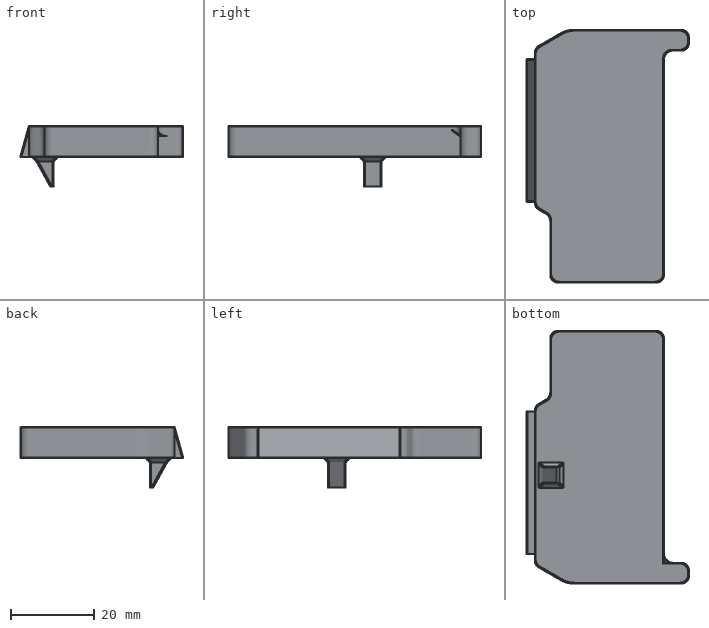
import cadquery as cq
import math

PLATE_LENGTH = 60.65
PLATE_HEIGHT = 7.5
EDGE_BREAK = 0.2
CORNER_RADIUS = 2.0
NOSE_RADIUS = 6.05
SLANT = math.tan(math.radians(30))

LEFT_X = 2.0
FOOT_LEFT_X = 5.7
RIGHT_X = 33.0
ARM_END_X = 39.0
ARM_WIDTH = 5.0
NOSE_X = 9.75
SHOULDER_Y = 18.15

RAMP_FRONT_Y = 19.35
RAMP_BACK_Y = 53.6
RAMP_CHAMFER = 0.2

WEB_DEPTH = 2.4
WEB_RISE = 1.4

HOOK_LENGTH = 7.05
HOOK_FLARE = 1.0
HOOK_ROOT_X = 3.9
HOOK_TIP_X = 7.2
HOOK_BACK_X = 7.9
HOOK_WIDTH = 4.1
HOOK_CENTRE_Y = 34.6
HOOK_CHAMFER = 0.25

ARM_FRONT_Y = PLATE_LENGTH - ARM_WIDTH


def make_plate():
    """Plate with rounded corners; the inner corner of the arm stays sharp."""
    nose = (NOSE_X, PLATE_LENGTH)
    outline = [
        (FOOT_LEFT_X, 0),
        (RIGHT_X, 0),
        (RIGHT_X, ARM_FRONT_Y),
        (ARM_END_X, ARM_FRONT_Y),
        (ARM_END_X, PLATE_LENGTH),
        nose,
        (LEFT_X, PLATE_LENGTH - (NOSE_X - LEFT_X) * SLANT),
        (LEFT_X, SHOULDER_Y),
        (FOOT_LEFT_X, SHOULDER_Y - (FOOT_LEFT_X - LEFT_X) * SLANT),
    ]
    inner_corner = (RIGHT_X, ARM_FRONT_Y)
    plate = cq.Workplane("XY").polyline(outline).close().extrude(PLATE_HEIGHT)
    half_height = PLATE_HEIGHT / 2
    for corner in outline:
        if corner == inner_corner:
            continue
        radius = NOSE_RADIUS if corner == nose else CORNER_RADIUS
        edge = cq.selectors.NearestToPointSelector((corner[0], corner[1], half_height))
        plate = plate.edges("|Z").edges(edge).fillet(radius)
    return plate


def make_web():
    """Concave fillet in the arm corner, with an underside that climbs away from the arm."""
    web = (
        cq.Workplane("XY", origin=(RIGHT_X, ARM_FRONT_Y, 0))
        .lineTo(0, -CORNER_RADIUS)
        .radiusArc((CORNER_RADIUS, 0), CORNER_RADIUS)
        .close()
        .extrude(PLATE_HEIGHT)
    )
    underside_z = PLATE_HEIGHT - WEB_DEPTH
    upper_zone = (
        cq.Workplane("YZ", origin=(RIGHT_X, 0, 0))
        .moveTo(ARM_FRONT_Y, underside_z)
        .lineTo(ARM_FRONT_Y - CORNER_RADIUS, underside_z + WEB_RISE)
        .lineTo(ARM_FRONT_Y - CORNER_RADIUS, PLATE_HEIGHT)
        .lineTo(ARM_FRONT_Y, PLATE_HEIGHT)
        .close()
        .extrude(CORNER_RADIUS)
    )
    return web.intersect(upper_zone)


def make_ramp():
    """Wedge leaning out from the top of the left side to X = 0 at the bottom."""
    return (
        cq.Workplane("XZ", origin=(0, RAMP_BACK_Y, 0))
        .moveTo(LEFT_X, 0)
        .lineTo(RAMP_CHAMFER, 0)
        .lineTo(0, RAMP_CHAMFER)
        .lineTo(LEFT_X, PLATE_HEIGHT - EDGE_BREAK)
        .close()
        .extrude(RAMP_BACK_Y - RAMP_FRONT_Y)
        .edges("not(|X or |Y or |Z)")
        .chamfer(RAMP_CHAMFER)
    )


def make_hook():
    """Wedge-shaped hook with chamfered long edges and a flared root."""
    blade = (
        cq.Workplane("XZ", origin=(0, HOOK_CENTRE_Y, 0))
        .moveTo(HOOK_ROOT_X, -HOOK_FLARE)
        .lineTo(HOOK_BACK_X, -HOOK_FLARE)
        .lineTo(HOOK_BACK_X, -HOOK_LENGTH)
        .lineTo(HOOK_TIP_X, -HOOK_LENGTH)
        .close()
        .extrude(HOOK_WIDTH / 2, both=True)
        .edges("not(#Z or |Y)")
        .chamfer(HOOK_CHAMFER)
    )
    root_length = HOOK_BACK_X - HOOK_ROOT_X
    root_centre = ((HOOK_ROOT_X + HOOK_BACK_X) / 2, HOOK_CENTRE_Y, -HOOK_FLARE)
    flare_chamfer = HOOK_CHAMFER * math.sqrt(2 / 3)
    flare = (
        cq.Workplane("XY", origin=root_centre)
        .rect(root_length, HOOK_WIDTH)
        .workplane(offset=HOOK_FLARE)
        .rect(root_length + 2 * HOOK_FLARE, HOOK_WIDTH + 2 * HOOK_FLARE)
        .loft(ruled=True)
        .edges("not #Z")
        .chamfer(flare_chamfer)
    )
    return blade.union(flare)


plate = make_plate().union(make_web()).faces("<Z or >Z").edges().chamfer(EDGE_BREAK)
result = plate.union(make_ramp()).union(make_hook())